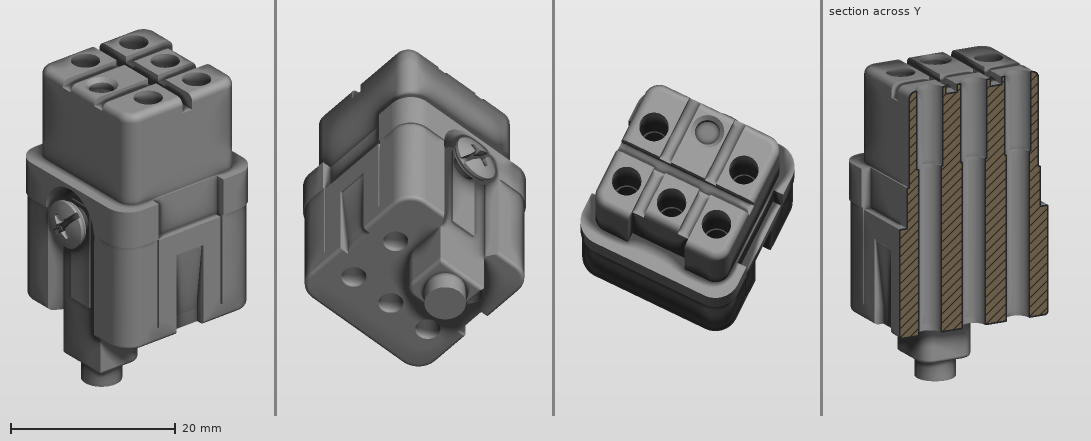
import cadquery as cq
import math

top_z = 40.4
flange_top_z = 28.15
flange_bottom_z = 23.25
body_bottom_z = 8.95
terminal_bottom_z = 2.75
screw_z = 22.95

insert_x = 18.0
insert_y = 17.15
insert_center_y = 0.05
insert_corner = 1.95
insert_top_fillet = 0.95
back_recess_depth = 1.25

groove_width = 1.55
groove_depth = 0.95
groove_x = 3.07
cross_groove_width = 1.5
cross_groove_depth = 1.98
cross_groove_y = 0.65

contact_x = 6.1
back_row_y = 4.4
front_row_y = -3.15
contact_mouth_dia = 3.6
contact_dia = 3.07
contact_bore_shift = -0.12
contact_mouth_depth = 10.1
ground_y = -5.55
ground_mouth_dia = 4.1
ground_dia = 3.07
ground_depth = 1.4

flange_size = 21.0
flange_corner = 3.05
body_size = 20.6
body_corner = body_size / 2 - (flange_size / 2 - flange_corner)
bottom_fillet = 0.5

latch_pocket_width = 10.1
latch_gap = 0.25
latch_floor_x = 9.25
latch_top_z = 23.0
latch_root_z = 10.83
window_width = 4.2
window_top_z = 20.0
window_depth = 1.2
wedge_width = 3.88
wedge_top_z = 19.75
wedge_top_depth = 0.15

block_width = 7.2
block_front_y = -8.6
block_back_y = -1.95
block_corner = 1.7
channel_bevel = 0.9
channel_bevel_depth = 1.4
channel_top_z = 22.83
cone_floor_radius = 3.4
pad_width = 3.5
pad_height = 0.3
pad_bottom_z = 11.4
pad_top_z = 25.05
wire_pin_dia = 5.05

screw_tip_y = -11.95
head_radius = 3.07
neck_radius = 2.75
shank_radius = 1.6
neck_back_y = -10.2
neck_front_y = -10.35
head_rim_y = -11.2
head_seat_y = -10.8
screw_slot_width = 0.75
screw_slot_depth = 0.32
cross_arm_length = 1.6
cross_arm_width = 1.15
cross_arm_tip_width = 0.8
cross_depth = 1.2


def box(x0, x1, y0, y1, z0, z1):
    """Box between two opposite corners."""
    return cq.Workplane("XY").box(x1 - x0, y1 - y0, z1 - z0, centered=False).translate((x0, y0, z0))


def rounded_block(size_x, size_y, corner, z0, z1):
    """Upright block centred on Z with rounded vertical edges."""
    block = cq.Workplane("XY").workplane(offset=z0).rect(size_x, size_y).extrude(z1 - z0)
    return block.edges("|Z").fillet(corner)


def front_plane(y):
    """Workplane on the screw axis, facing the front (-Y)."""
    return cq.Workplane("XZ", origin=(0, y, screw_z))


def make_insert():
    insert = rounded_block(insert_x, insert_y, insert_corner, flange_top_z, top_z)
    insert = insert.translate((0, insert_center_y, 0))
    insert = insert.faces(">Z").edges().fillet(insert_top_fillet)

    recess_half = groove_x + groove_width / 2
    recess_y = insert_center_y + insert_y / 2 - back_recess_depth
    insert = insert.cut(box(-recess_half, recess_half, recess_y, insert_y, flange_top_z, top_z))
    insert = insert.edges(cq.NearestToPointSelector((0, recess_y, top_z))).fillet(insert_top_fillet)

    for x in (-groove_x, groove_x):
        half = groove_width / 2
        insert = insert.cut(box(x - half, x + half, -insert_y, insert_y, top_z - groove_depth, top_z))
    y0 = cross_groove_y - cross_groove_width / 2
    y1 = cross_groove_y + cross_groove_width / 2
    return insert.cut(box(-insert_x, insert_x, y0, y1, top_z - cross_groove_depth, top_z))


def make_housing():
    body = rounded_block(body_size, body_size, body_corner, body_bottom_z, flange_top_z)
    body = body.faces("<Z").edges().fillet(bottom_fillet)
    return body.union(rounded_block(flange_size, flange_size, flange_corner, flange_bottom_z, flange_top_z))


def latch_cut():
    """Material removed around the +X latch; its window keeps an inner wedge clear of the window edges."""
    half = latch_pocket_width / 2
    tongue_half = half - latch_gap
    pocket = box(latch_floor_x, flange_size, -half, half, latch_root_z, flange_top_z)
    tongue = box(latch_floor_x, flange_size, -tongue_half, tongue_half, latch_root_z, latch_top_z)
    outer = body_size / 2
    over_tongue = box(outer, flange_size, -half, half, latch_top_z, flange_top_z)
    floor_x = outer - window_depth
    window_half = window_width / 2
    window = box(floor_x, flange_size, -window_half, window_half, body_bottom_z, window_top_z)
    wedge = (
        cq.Workplane("XZ")
        .moveTo(floor_x, latch_root_z)
        .lineTo(floor_x, wedge_top_z)
        .lineTo(outer - wedge_top_depth, wedge_top_z)
        .close()
        .extrude(wedge_width / 2, both=True)
    )
    return pocket.cut(tongue).union(over_tongue).union(window).cut(wedge)


def channel_cut():
    """Bevelled channel down the front face, closed by a conical recess around the screw."""
    half = block_width / 2
    face_y = -body_size / 2
    channel = (
        cq.Workplane("XY")
        .workplane(offset=body_bottom_z)
        .moveTo(-half, block_front_y)
        .lineTo(-half, face_y + channel_bevel_depth)
        .lineTo(-half - channel_bevel, face_y)
        .lineTo(-half - channel_bevel, -flange_size)
        .lineTo(half + channel_bevel, -flange_size)
        .lineTo(half + channel_bevel, face_y)
        .lineTo(half, face_y + channel_bevel_depth)
        .lineTo(half, block_front_y)
        .close()
        .extrude(channel_top_z - body_bottom_z)
    )
    front_y = -flange_size / 2
    mouth_radius = half + channel_bevel + (flange_size - body_size) / 2
    cone = (
        cq.Workplane("XY")
        .moveTo(0, block_front_y)
        .lineTo(cone_floor_radius, block_front_y)
        .lineTo(mouth_radius, front_y)
        .lineTo(0, front_y)
        .close()
        .revolve(360, (0, 0, 0), (0, 1, 0))
        .translate((0, 0, screw_z))
    )
    return channel.union(cone)


def make_terminal():
    """Terminal block with its raised pad and the wire pin below."""
    half = block_width / 2
    block = box(-half, half, block_front_y, block_back_y, terminal_bottom_z, screw_z)
    block = block.edges("|Z and >Y").fillet(block_corner)
    block = block.faces("<Z").edges().fillet(bottom_fillet)
    pad_front_y = block_front_y - pad_height
    pad = box(-pad_width / 2, pad_width / 2, pad_front_y, block_front_y, pad_bottom_z, pad_top_z)
    pin = cq.Workplane("XY").center(0, ground_y).circle(wire_pin_dia / 2).extrude(terminal_bottom_z)
    return block.union(pad).union(pin)


def make_screw():
    dome_height = head_rim_y - screw_tip_y
    dome_radius = (head_radius**2 + dome_height**2) / (2 * dome_height)
    bulge = dome_radius * math.sin(math.asin(head_radius / dome_radius) / 2)
    bulge_y = screw_tip_y + dome_radius - math.sqrt(dome_radius**2 - bulge**2)
    screw = (
        cq.Workplane("XY")
        .moveTo(0, block_front_y)
        .lineTo(shank_radius, block_front_y)
        .lineTo(shank_radius, neck_back_y)
        .lineTo(neck_radius, neck_back_y)
        .lineTo(neck_radius, neck_front_y)
        .lineTo(head_radius, head_seat_y)
        .lineTo(head_radius, head_rim_y)
        .threePointArc((bulge, bulge_y), (0, screw_tip_y))
        .close()
        .revolve(360, (0, 0, 0), (0, 1, 0))
        .translate((0, 0, screw_z))
    )

    slot = front_plane(screw_tip_y).transformed(rotate=(0, 0, 45))
    slot = slot.rect(2 * flange_size, screw_slot_width).extrude(-dome_height - screw_slot_depth)
    screw = screw.cut(slot)
    for angle in (45, 135, 225, 315):
        arm = (
            front_plane(screw_tip_y)
            .transformed(rotate=(0, 0, angle))
            .moveTo(0, -cross_arm_width / 2)
            .lineTo(cross_arm_width / 2, -cross_arm_width / 2)
            .lineTo(cross_arm_length, -cross_arm_tip_width / 2)
            .lineTo(cross_arm_length, cross_arm_tip_width / 2)
            .lineTo(cross_arm_width / 2, cross_arm_width / 2)
            .lineTo(0, cross_arm_width / 2)
            .close()
            .extrude(-cross_depth)
        )
        screw = screw.cut(arm)
    return screw


def contact_holes():
    """Contact holes through the full height, each with a wider mouth and a slightly offset bore."""
    points = [(x, back_row_y) for x in (-contact_x, 0, contact_x)]
    points += [(x, front_row_y) for x in (-contact_x, contact_x)]
    top = cq.Workplane("XY").workplane(offset=top_z).pushPoints(points)
    mouths = top.circle(contact_mouth_dia / 2).extrude(-contact_mouth_depth)
    bores = top.circle(contact_dia / 2).extrude(body_bottom_z - top_z)
    return mouths.union(bores.translate((0, contact_bore_shift, 0)))


def ground_hole():
    """Blind ground contact hole with a chamfered mouth."""
    chamfer = (ground_mouth_dia - ground_dia) / 2
    return (
        cq.Workplane("XZ", origin=(0, ground_y, top_z))
        .lineTo(ground_mouth_dia / 2, 0)
        .lineTo(ground_dia / 2, -chamfer)
        .lineTo(ground_dia / 2, -ground_depth)
        .lineTo(0, -ground_depth)
        .close()
        .revolve(360, (0, 0, 0), (0, 1, 0))
    )


right_latch = latch_cut()
result = make_housing().cut(channel_cut())
result = result.cut(right_latch).cut(right_latch.mirror("YZ"))
result = result.union(make_insert())
result = result.union(make_terminal()).union(make_screw())
result = result.cut(contact_holes()).cut(ground_hole())